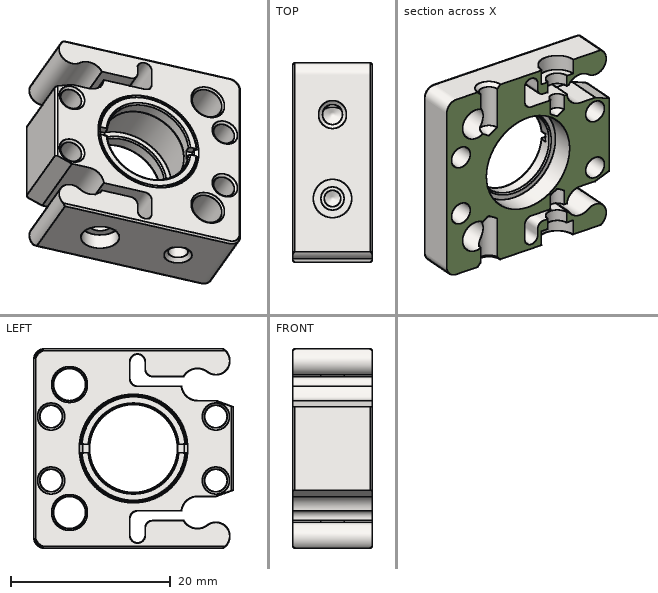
import cadquery as cq
import math

width = 25.0
thickness = 10.0
half = width / 2
face_x = thickness / 2
corner_radius = 1.5
edge_chamfer = 0.25

rod_offset = 8.0
rod_radius = 2.0
rod_hole_chamfer = 0.25

lobe_radius = 1.75
lobe_y = -10.3
lobe_z = rod_offset + math.sqrt((rod_radius + lobe_radius) ** 2 - (lobe_y + rod_offset) ** 2)
slot_floor_z = 7.8
arm_inner_z = 9.0
relief_y = -0.5
relief_radius = 0.95
relief_top_z = 11.8
slot_fillet = 0.95
arm_fillet = 0.95
nose_z = rod_offset - rod_radius
nose_bevel_y = -10.3
nose_tip_z = 5.2

small_hole_diameter = 2.8
small_hole_chamfer = 0.3
small_hole_y = 10.3
small_hole_z = 4.0

bore_diameter = 12.7
mouth_diameter = 13.59
ring_inner_diameter = 11.0
ring_thickness = 2.0
ring_bore_chamfer = 0.2
ring_face_radius = 6.48
ring_slot_width = 1.1
ring_slot_depth = 1.0

drill_point_slope = math.tan(math.radians(31))
set_screw_y = 6.0
set_screw_diameter = 2.5
set_screw_sink_diameter = 3.5
set_screw_depth = 6.0

clamp_y = -4.5
clamp_head_diameter = 4.8
clamp_head_depth = 2.0
clamp_clearance_diameter = 2.9
clamp_tap_diameter = 2.05
clamp_tap_depth = 2.0


def extrude_profile(profile):
    return profile.extrude(thickness / 2, both=True)


def revolve_about_x(points):
    """Revolve a closed outline of (x, radius) points about the X axis."""
    return cq.Workplane("XY").polyline(points).close().revolve(360, (0, 0, 0), (1, 0, 0))


def revolve_about_z(points, y):
    """Revolve a closed outline of (radius, z) points about the vertical line at x = 0 and the given y."""
    profile = cq.Workplane("YZ").polyline(points).close()
    return profile.revolve(360, (0, 0, 0), (0, 1, 0)).translate((0, y, 0))


def plate_blank():
    """Square plate with rounded back corners and chamfered long edges."""
    blank = extrude_profile(cq.Workplane("YZ").rect(width, width))
    blank = blank.edges("|X and >Y").fillet(corner_radius)
    return blank.faces("<X or >X").chamfer(edge_chamfer)


def arm_gap():
    """Opening between the upper arm and the nose, including the rod pocket and the rounded arm tip."""
    outside_y = -half - 1
    outside_z = half + 1

    arm_meet_y = -rod_offset + math.sqrt(rod_radius ** 2 - (arm_inner_z - rod_offset) ** 2)
    floor_meet_y = -rod_offset + math.sqrt(rod_radius ** 2 - (slot_floor_z - rod_offset) ** 2)

    share = rod_radius / (rod_radius + lobe_radius)
    tangent = (-rod_offset + share * (lobe_y + rod_offset), rod_offset + share * (lobe_z - rod_offset))
    tip_end_y = lobe_y - math.sqrt(lobe_radius ** 2 - (half - lobe_z) ** 2)

    relief_left = relief_y + relief_radius
    relief_right = relief_y - relief_radius
    relief_arc_z = relief_top_z - relief_radius

    diagonal = math.sqrt(0.5)
    pocket_low = (-rod_offset + rod_radius * diagonal, rod_offset - rod_radius * diagonal)
    slot_corner = (
        relief_left - slot_fillet * (1 - diagonal),
        slot_floor_z + slot_fillet * (1 - diagonal),
    )
    arm_corner = (
        relief_right - arm_fillet * (1 - diagonal),
        arm_inner_z + arm_fillet * (1 - diagonal),
    )

    outline = (
        cq.Workplane("YZ")
        .moveTo(outside_y, nose_tip_z)
        .lineTo(-half, nose_tip_z)
        .lineTo(nose_bevel_y, nose_z)
        .lineTo(-rod_offset, nose_z)
        .threePointArc(pocket_low, (floor_meet_y, slot_floor_z))
        .lineTo(relief_left - slot_fillet, slot_floor_z)
        .threePointArc(slot_corner, (relief_left, slot_floor_z + slot_fillet))
        .lineTo(relief_left, relief_arc_z)
        .threePointArc((relief_y, relief_top_z), (relief_right, relief_arc_z))
        .lineTo(relief_right, arm_inner_z + arm_fillet)
        .threePointArc(arm_corner, (relief_right - arm_fillet, arm_inner_z))
        .lineTo(arm_meet_y, arm_inner_z)
        .threePointArc((-rod_offset, rod_offset + rod_radius), tangent)
        .threePointArc((lobe_y - lobe_radius, lobe_z), (tip_end_y, half))
        .lineTo(tip_end_y, outside_z)
        .lineTo(outside_y, outside_z)
        .close()
    )
    return extrude_profile(outline)


def chamfered_hole(diameter, chamfer, y, z):
    """Hole through the plate along X, chamfered at both faces."""
    radius = diameter / 2
    hole = revolve_about_x([
        (-face_x, 0),
        (-face_x, radius + chamfer),
        (-face_x + chamfer, radius),
        (face_x - chamfer, radius),
        (face_x, radius + chamfer),
        (face_x, 0),
    ])
    return hole.translate((0, y, z))


def set_screw_hole():
    """Countersunk blind hole with a drill point, opening into the rod hole."""
    radius = set_screw_diameter / 2
    sink_radius = set_screw_sink_diameter / 2
    bottom_z = half - set_screw_depth
    return revolve_about_z([
        (0, half),
        (sink_radius, half),
        (radius, half - (sink_radius - radius)),
        (radius, bottom_z),
        (0, bottom_z - radius * drill_point_slope),
    ], set_screw_y)


def clamp_screw_hole():
    """Counterbored clearance hole in the arm, continued by a tapped blind hole below the slot."""
    head_z = half - clamp_head_depth
    tap_radius = clamp_tap_diameter / 2
    tap_bottom_z = slot_floor_z - clamp_tap_depth
    gap_z = (slot_floor_z + arm_inner_z) / 2
    return revolve_about_z([
        (0, half),
        (clamp_head_diameter / 2, half),
        (clamp_head_diameter / 2, head_z),
        (clamp_clearance_diameter / 2, head_z),
        (clamp_clearance_diameter / 2, gap_z),
        (tap_radius, gap_z),
        (tap_radius, tap_bottom_z),
        (0, tap_bottom_z - tap_radius * drill_point_slope),
    ], clamp_y)


def build_housing():
    mouth_chamfer = (mouth_diameter - bore_diameter) / 2
    body = plate_blank()
    body = body.cut(chamfered_hole(bore_diameter, mouth_chamfer, 0, 0))

    for cutter in (arm_gap(), set_screw_hole(), clamp_screw_hole()):
        body = body.cut(cutter).cut(cutter.mirror("XY"))

    for side in (1, -1):
        body = body.cut(chamfered_hole(2 * rod_radius, rod_hole_chamfer, rod_offset, side * rod_offset))
        for y in (small_hole_y, -small_hole_y):
            body = body.cut(chamfered_hole(small_hole_diameter, small_hole_chamfer, y, side * small_hole_z))
    return body


def build_ring():
    """Slotted retaining ring, flush with the -X face and seated in the chamfered mouth of the bore."""
    outer_radius = bore_diameter / 2
    inner_radius = ring_inner_diameter / 2
    mouth_radius = mouth_diameter / 2
    front_x = -face_x
    back_x = front_x + ring_thickness

    groove_depth = (mouth_radius - ring_face_radius) / 2

    ring = revolve_about_x([
        (front_x, inner_radius + ring_bore_chamfer),
        (front_x, ring_face_radius),
        (front_x + groove_depth, ring_face_radius + groove_depth),
        (front_x + mouth_radius - outer_radius, outer_radius),
        (back_x, outer_radius),
        (back_x, inner_radius + ring_bore_chamfer),
        (back_x - ring_bore_chamfer, inner_radius),
        (front_x + ring_bore_chamfer, inner_radius),
    ])
    wrench_slot = cq.Workplane("XY").box(2 * ring_slot_depth, mouth_diameter, ring_slot_width)
    return ring.cut(wrench_slot.translate((front_x, 0, 0)))


housing = build_housing()

rings = []
for turn in (0, 180):
    rings.append(build_ring().rotate((0, 0, 0), (0, 0, 1), turn))

result = cq.Compound.makeCompound([housing.val(), *[ring.val() for ring in rings]])